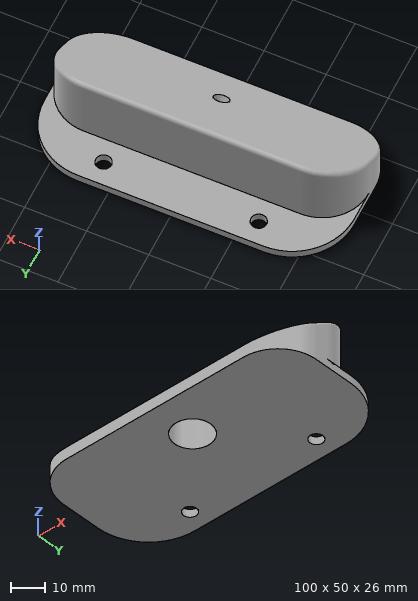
import cadquery as cq
import math

length = 100.0
depth = 50.0
plate_thickness = 3.0
rear_radius = 20.0
front_radius = 15.0
front_y = -depth / 2

block_depth = 35.0
front_height = 4.8
rear_height = 27.2
edge_radius = 1.5
slope = math.atan2(rear_height - front_height, block_depth)

hole_diameter = 5.0
mount_spacing = 50.0
mount_y = 17.5
slope_hole_y = -10.5
slope_hole_length = 3.2
bore_diameter = 14.0


def make_plate():
    """Flat plate with larger corner radii at the rear."""
    plate = cq.Workplane("XY").box(length, depth, plate_thickness, centered=(True, True, False))
    plate = plate.edges("|Z and >Y").fillet(rear_radius)
    return plate.edges("|Z and <Y").fillet(front_radius)


def make_block():
    """Wedge with round corners and a rounded rim around its sloped face."""
    rear_y = front_y + block_depth
    wedge = (
        cq.Workplane("YZ")
        .moveTo(front_y, 0)
        .lineTo(rear_y, 0)
        .lineTo(rear_y, rear_height)
        .lineTo(front_y, front_height)
        .close()
        .extrude(length / 2, both=True)
    )
    wedge = wedge.edges("|Z").fillet(front_radius)
    return wedge.faces(">Z").edges().fillet(edge_radius)


def make_slope_hole():
    """Hole square to the sloped face, opening into an upright bore from the bottom."""
    surface_z = front_height + (slope_hole_y - front_y) * math.tan(slope)
    inward = cq.Vector(0, math.sin(slope), -math.cos(slope))
    entry = cq.Vector(0, slope_hole_y, surface_z)
    bore_center = entry + inward * slope_hole_length
    hole = cq.Workplane(cq.Solid.makeCylinder(hole_diameter / 2, slope_hole_length, entry, inward))

    bore = cq.Workplane("XY").center(0, bore_center.y).circle(bore_diameter / 2).extrude(rear_height)
    ceiling = cq.Plane(origin=bore_center, xDir=(1, 0, 0), normal=inward * -1)
    above_ceiling = cq.Workplane(ceiling).rect(length, length).extrude(rear_height)
    return hole.union(bore.cut(above_ceiling))


mount_holes = (
    cq.Workplane("XY")
    .pushPoints([(-mount_spacing / 2, mount_y), (mount_spacing / 2, mount_y)])
    .circle(hole_diameter / 2)
    .extrude(plate_thickness)
)

result = make_plate().union(make_block()).cut(mount_holes).cut(make_slope_hole())